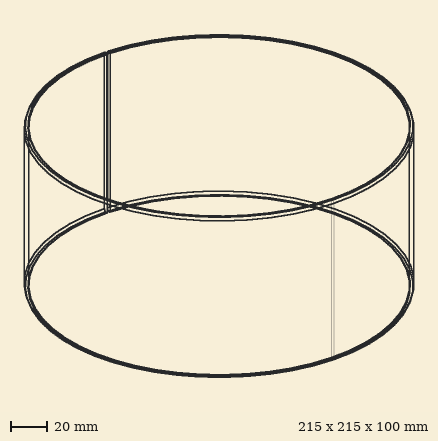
import cadquery as cq

outer_diameter = 215.0
height = 100.0
wall = 2.5

outer_bevel_width = 0.67
outer_bevel_height = 2.0
inner_bevel_width = 0.5
inner_bevel_height = 0.5

slit_width = 2.0

outer_radius = outer_diameter / 2
inner_radius = outer_radius - wall
half_height = height / 2


def ring():
    """Revolve the wall section, bevelled at all four corners, about Z."""
    outer_rim = outer_radius - outer_bevel_width
    inner_rim = inner_radius + inner_bevel_width
    outer_bevel_start = half_height - outer_bevel_height
    inner_bevel_start = half_height - inner_bevel_height
    section = [
        (inner_rim, -half_height),
        (outer_rim, -half_height),
        (outer_radius, -outer_bevel_start),
        (outer_radius, outer_bevel_start),
        (outer_rim, half_height),
        (inner_rim, half_height),
        (inner_radius, inner_bevel_start),
        (inner_radius, -inner_bevel_start),
    ]
    return cq.Workplane("XZ").polyline(section).close().revolve(360, (0, 0), (0, 1))


def slit():
    """Full-height cutter that opens the ring from the bore to the -X side."""
    return cq.Workplane("XY").box(
        outer_diameter, slit_width, height, centered=(True, False, True)
    ).translate((-outer_radius, 0, 0))


result = ring().cut(slit())